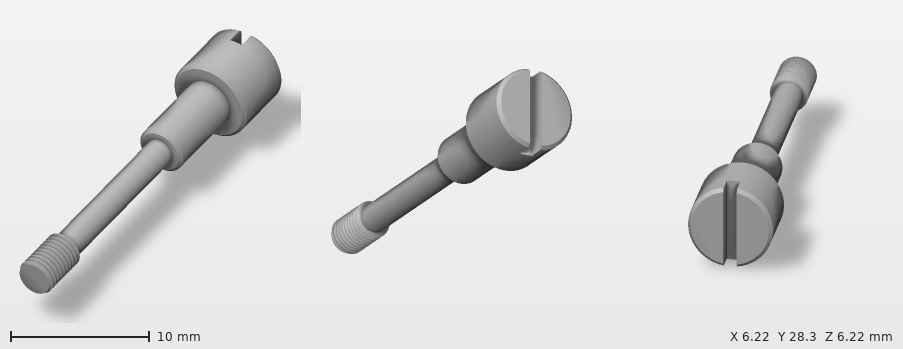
import cadquery as cq

total_length = 28.27

head_diameter = 6.22
head_length = 5.1
slot_width = 1.0
slot_depth = 1.5

shoulder_diameter = 3.68
shoulder_length = 6.5
stem_diameter = 2.12
edge_chamfer = 0.25

crest_diameter = 2.83
root_diameter = stem_diameter
ring_count = 10
ring_pitch = 0.4
tip_flare_length = 0.1
thread_length = ring_count * ring_pitch + tip_flare_length

tip_y = -total_length / 2
head_top_y = total_length / 2
head_base_y = head_top_y - head_length
shoulder_base_y = head_base_y - shoulder_length
thread_top_y = tip_y + thread_length


def cylinder(diameter, y_start, y_end):
    """Cylinder on the Y axis between two stations."""
    length = y_end - y_start
    disc = cq.Workplane("XZ", origin=(0, y_start, 0)).circle(diameter / 2)
    return disc.extrude(-length)


def revolve_about_axis(points):
    """Closed (radius, y) outline turned about the Y axis."""
    return cq.Workplane("XY").polyline(points).close().revolve(360, (0, 0), (0, 1))


def make_head():
    head = cylinder(head_diameter, head_base_y, head_top_y).edges().chamfer(edge_chamfer)
    slot = cq.Workplane("XY").box(slot_width, 2 * slot_depth, 2 * head_diameter)
    return head.cut(slot.translate((0, head_top_y, 0)))


def make_shoulder():
    shoulder = cylinder(shoulder_diameter, shoulder_base_y, head_base_y)
    return shoulder.faces("<Y").edges().chamfer(edge_chamfer)


def make_thread():
    root_radius = root_diameter / 2
    crest_radius = crest_diameter / 2
    half_width = ring_pitch / 2
    thread = cylinder(root_diameter, tip_y, thread_top_y)
    for index in range(ring_count):
        crest_y = thread_top_y - half_width - index * ring_pitch
        ring = revolve_about_axis([
            (0, crest_y - half_width),
            (root_radius, crest_y - half_width),
            (crest_radius, crest_y),
            (root_radius, crest_y + half_width),
            (0, crest_y + half_width),
        ])
        thread = thread.union(ring)

    flank_slope = (crest_radius - root_radius) / half_width
    tip_radius = root_radius + flank_slope * tip_flare_length
    tip_flare = revolve_about_axis([
        (0, tip_y),
        (tip_radius, tip_y),
        (root_radius, tip_y + tip_flare_length),
        (0, tip_y + tip_flare_length),
    ])
    return thread.union(tip_flare)


stem = cylinder(stem_diameter, thread_top_y, shoulder_base_y)
result = make_head().union(make_shoulder()).union(stem).union(make_thread())